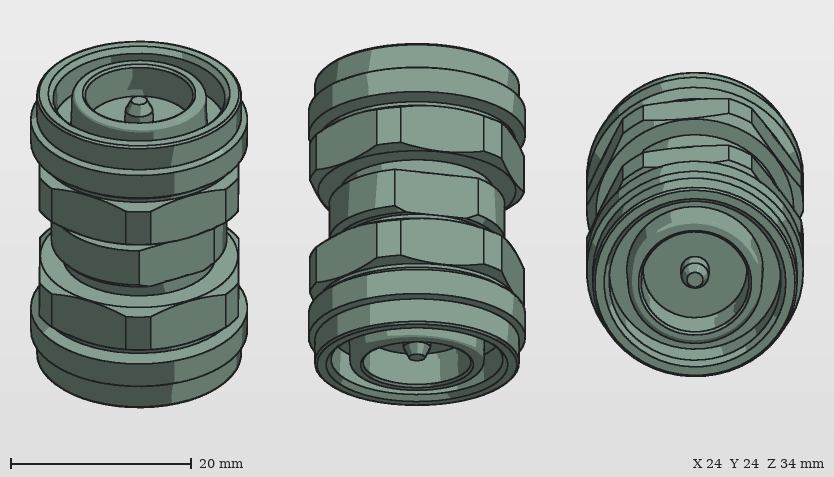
import cadquery as cq
import math

length = 34.0
half_length = length / 2

cap_radius = 11.32
cap_edge_chamfer = 0.25
cap_end = 2.95
band_radius = 12.0
band_start = 3.3
band_end = 6.22
groove_radius = 10.95
groove_start = 6.97
hex_start = 7.4
hex_end = 12.92

hex_flat_distance = 11.0
hex_corner_radius = band_radius
hex_face_radius = 10.95
hex_bevel_angle = 30.0

body_radius = 8.45
collar_radius = 9.72
collar_height = 5.03
collar_chamfer = 0.6

socket_radius = 9.52
socket_mouth_radius = 10.05
socket_mouth_height = 0.6
socket_depth = 3.85

ring_tip_outer_radius = 7.4
ring_root_outer_radius = 7.55
ring_rim_fillet = 0.55
ring_mouth_radius = 6.25
ring_mouth_height = 0.27
ring_tip_inner_radius = ring_mouth_radius - ring_mouth_height
ring_root_inner_radius = 5.85
ring_floor_inner_radius = 5.75
root_depth = 3.03

pin_radius = 1.55
pin_tip_radius = 0.9
pin_tip_depth = 0.9
pin_taper_end = 2.1
pin_taper_end_radius = 1.5


def turn(points):
    """Revolve a closed (radius, height) outline about the Z axis."""
    return cq.Workplane("XZ").polyline(points).close().revolve(360, (0, 0), (0, 1))


def below_end(outline):
    """Turn (radius, depth) points into (radius, height) at the upper end."""
    return [(radius, half_length - depth) for radius, depth in outline]


def make_nut_shell():
    return turn(below_end([
        (0, 0),
        (cap_radius - cap_edge_chamfer, 0),
        (cap_radius, cap_edge_chamfer),
        (cap_radius, cap_end),
        (band_radius, band_start),
        (band_radius, band_end),
        (groove_radius, groove_start),
        (groove_radius, hex_start),
        (0, hex_start),
    ]))


def make_hex_grip():
    """Hexagon with two flats facing along X and its corners turned round."""
    bevel = (hex_corner_radius - hex_face_radius) * math.tan(math.radians(hex_bevel_angle))
    blank = turn(below_end([
        (0, hex_start),
        (hex_face_radius, hex_start),
        (hex_corner_radius, hex_start + bevel),
        (hex_corner_radius, hex_end - bevel),
        (hex_face_radius, hex_end),
        (0, hex_end),
    ]))
    prism = (
        cq.Workplane("XY", origin=(0, 0, half_length - hex_end))
        .polygon(6, 2 * hex_flat_distance, circumscribed=True)
        .extrude(hex_end - hex_start)
    )
    return blank.intersect(prism)


def make_socket():
    return turn(below_end([
        (0, 0),
        (socket_mouth_radius, 0),
        (socket_radius, socket_mouth_height),
        (socket_radius, socket_depth),
        (0, socket_depth),
    ]))


def make_contact_ring():
    ring = turn(below_end([
        (ring_floor_inner_radius, socket_depth),
        (ring_root_inner_radius, root_depth),
        (ring_tip_inner_radius, ring_mouth_height),
        (ring_mouth_radius, 0),
        (ring_tip_outer_radius, 0),
        (ring_root_outer_radius, socket_depth),
    ]))
    rim = cq.selectors.RadiusNthSelector(-1)
    return ring.faces(">Z").edges(rim).fillet(ring_rim_fillet)


def make_pin():
    """Pin with a tapered nose that swells in an arc to the full shank radius."""
    floor_height = half_length - socket_depth
    tip_height = half_length - pin_tip_depth
    taper_height = half_length - pin_taper_end
    shank_height = half_length - root_depth
    return (
        cq.Workplane("XZ")
        .moveTo(0, floor_height)
        .lineTo(pin_radius, floor_height)
        .lineTo(pin_radius, shank_height)
        .tangentArcPoint((pin_taper_end_radius, taper_height), relative=False)
        .lineTo(pin_tip_radius, tip_height)
        .lineTo(0, tip_height)
        .close()
        .revolve(360, (0, 0), (0, 1))
    )


def make_upper_connector():
    nut = make_nut_shell().union(make_hex_grip())
    return nut.cut(make_socket()).union(make_contact_ring()).union(make_pin())


def make_centre_body():
    neck_length = length - 2 * hex_end
    neck = cq.Workplane("XY").circle(body_radius).extrude(neck_length / 2, both=True)
    collar = (
        cq.Workplane("XY")
        .circle(collar_radius)
        .extrude(collar_height / 2, both=True)
        .faces("<Z")
        .chamfer(collar_chamfer)
    )
    flats = cq.Workplane("XY").box(2 * body_radius, 2 * collar_radius, collar_height)
    return neck.union(collar.intersect(flats))


upper = make_upper_connector()
lower = upper.mirror("XY")
result = make_centre_body().union(upper).union(lower)